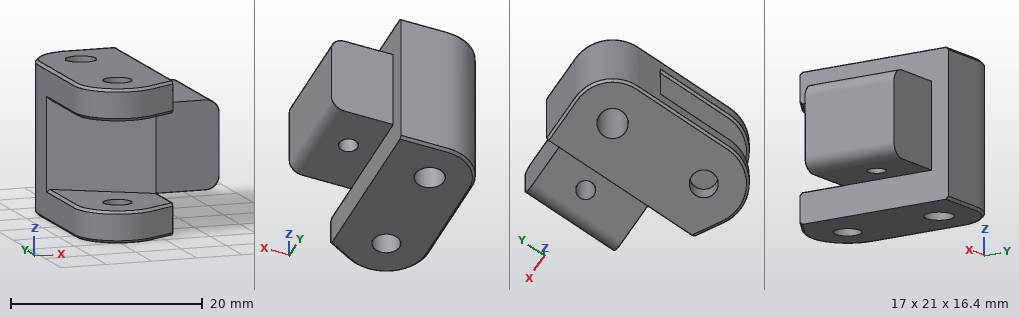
import cadquery as cq
import math

height = 16.4
end_radius = 4.75
hole_spacing = 11.5
body_width = 10.02
overall_width = 17.0
slot_height = 9.58
edge_chamfer = 0.3
slant = math.radians(30)

mount_hole_diameter = 3.25
pin_hole_diameter = 3.0

tab_back_inset = 2.1
tab_corner_radius = 1.5
tab_hole_diameter = 2.05
tab_hole_from_left = 13.0
tab_hole_from_back = 7.0

slot_wall_from_back = 7.52

left = -end_radius
right = left + body_width
back = hole_spacing + end_radius
front = -end_radius
arm_thickness = (height - slot_height) / 2
wall_left_y = back - slot_wall_from_back
wall_right_y = wall_left_y - body_width * math.tan(slant)


def plate(thickness, bottom):
    """Body outline as a plate, chamfered all round except at its flat right face."""
    tangent_x = end_radius * math.sin(slant)
    tangent_y = -end_radius * math.cos(slant)
    corner_y = tangent_y + (right - tangent_x) * math.tan(slant)
    diagonal = end_radius * math.sqrt(0.5)
    arc_middle = math.pi + (math.pi / 2 + slant) / 2
    return (
        cq.Workplane("XY", origin=(0, 0, bottom))
        .moveTo(right, back)
        .lineTo(0, back)
        .threePointArc((-diagonal, hole_spacing + diagonal), (left, hole_spacing))
        .lineTo(left, 0)
        .threePointArc(
            (end_radius * math.cos(arc_middle), end_radius * math.sin(arc_middle)),
            (tangent_x, tangent_y),
        )
        .lineTo(right, corner_y)
        .close()
        .extrude(thickness)
        .faces("<Z or >Z")
        .edges("not >X")
        .chamfer(edge_chamfer)
    )


def web():
    """Full-height block behind the slanted slot wall."""
    cutter = (
        cq.Workplane("XY", origin=(0, 0, -height / 2))
        .moveTo(left, wall_left_y)
        .lineTo(right, wall_right_y)
        .lineTo(right, front)
        .lineTo(left, front)
        .close()
        .extrude(height)
    )
    return plate(height, -height / 2).cut(cutter)


def tab():
    """Side tab as tall as the slot, with rounded outer edges."""
    length = overall_width - body_width
    tab_back = back - tab_back_inset
    return (
        cq.Workplane("XY")
        .box(length, tab_back - wall_right_y, slot_height, centered=(False, False, True))
        .edges("|Y and >X")
        .fillet(tab_corner_radius)
        .translate((right, wall_right_y, 0))
    )


def through_hole(diameter, x, y):
    return cq.Workplane("XY").center(x, y).circle(diameter / 2).extrude(height, both=True)


result = web().union(tab())
for arm_bottom in (-height / 2, slot_height / 2):
    result = result.union(plate(arm_thickness, arm_bottom))

holes = (
    (mount_hole_diameter, 0, hole_spacing),
    (pin_hole_diameter, 0, 0),
    (tab_hole_diameter, left + tab_hole_from_left, back - tab_hole_from_back),
)
for diameter, x, y in holes:
    result = result.cut(through_hole(diameter, x, y))